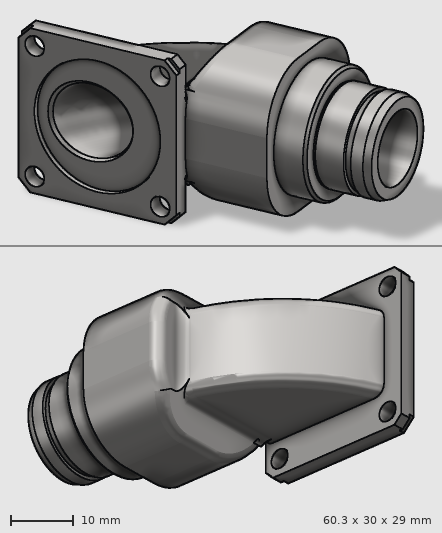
import cadquery as cq
import math

FLANGE_SIDE = 29.0
FLANGE_THICKNESS = 3.0
CORNER_CUT = 1.5
FRONT_CORNER_CUT = 2.2
FRONT_CORNER_DEPTH = 1.0
SCREW_SPACING = 23.05
SCREW_HOLE_DIAMETER = 3.5
RECESS_DIAMETER = 23.15
RECESS_DEPTH = 1.0
FLANGE_CENTER_X = FLANGE_SIDE / 2

HOUSING_SIDE = 27.1
HOUSING_CORNER_RADIUS = 10.0
HOUSING_START = 28.0
HOUSING_END = 43.95
END_SLOPE = 30.0
OVERALL_DEPTH = 30.0
AXIS_Y = OVERALL_DEPTH - HOUSING_SIDE / 2
SOFT_RADIUS = 2.0

ELBOW_HALF_WIDTH = 8.1
ELBOW_RADIUS = 35.0
ELBOW_CENTER_X = 36.4
ELBOW_CENTER_Y = -9.4
FOOT_CORNER_RADIUS = 1.5
SLOPE_RUN = (HOUSING_SIDE / 2 - ELBOW_HALF_WIDTH) * math.tan(math.radians(END_SLOPE))
SLOPE_END = HOUSING_START + SLOPE_RUN

COLLAR_RADIUS = 11.35
COLLAR_END = 49.8
COLLAR_CHAMFER = 0.5
NECK_RADIUS = 8.8
NECK_END = 50.15
SPIGOT_RADIUS = 8.9
SPIGOT_END = 60.3
GROOVE_RADIUS = 8.25
GROOVE_START = 55.4
GROOVE_END = 56.75
NOSE_LENGTH = 1.3
NOSE_DROP = 0.5

BORE_RADIUS = 6.45
BEND_RADIUS = 28.5
BORE_MOUTH_X = 12.4
BEND_SWEEP = 85.0
MOUTH_CHAMFER = 0.5

MARGIN = 0.6


def make_flange():
    def square_plate(thickness, corner_cut):
        return (
            cq.Workplane("XZ", origin=(FLANGE_CENTER_X, 0, 0))
            .rect(FLANGE_SIDE, FLANGE_SIDE)
            .extrude(-thickness)
            .edges("|Y")
            .chamfer(corner_cut)
        )

    rear_plate = square_plate(FLANGE_THICKNESS, CORNER_CUT)
    front_trim = (
        cq.Workplane("XZ", origin=(FLANGE_CENTER_X, 0, 0))
        .rect(FLANGE_SIDE, FLANGE_SIDE)
        .extrude(-FRONT_CORNER_DEPTH)
        .cut(square_plate(FRONT_CORNER_DEPTH, FRONT_CORNER_CUT))
    )
    return rear_plate.cut(front_trim)


def make_raw_housing():
    """Sharp-ended housing: the rear end is flat in the middle and slopes back towards +Z and -Z."""
    block = (
        cq.Workplane("YZ", origin=(HOUSING_START, AXIS_Y, 0))
        .rect(HOUSING_SIDE, HOUSING_SIDE)
        .extrude(HOUSING_END - HOUSING_START)
        .edges("|X")
        .fillet(HOUSING_CORNER_RADIUS)
    )
    half = HOUSING_SIDE / 2
    envelope = (
        cq.Workplane("XZ", origin=(0, OVERALL_DEPTH, 0))
        .polyline([
            (HOUSING_START, -ELBOW_HALF_WIDTH),
            (HOUSING_START, ELBOW_HALF_WIDTH),
            (SLOPE_END, half),
            (HOUSING_END, half),
            (HOUSING_END, -half),
            (SLOPE_END, -half),
        ])
        .close()
        .extrude(HOUSING_SIDE)
    )
    return block.intersect(envelope)


def round_housing_rim(housing):
    """Round the outline of the rear end, leaving the two creases across it sharp."""
    rear_edges = cq.selectors.BoxSelector(
        (0, 0, -HOUSING_SIDE),
        (SLOPE_END + MARGIN, OVERALL_DEPTH + MARGIN, HOUSING_SIDE),
    )
    creases = cq.selectors.BoxSelector(
        (0, AXIS_Y - MARGIN, -ELBOW_HALF_WIDTH - MARGIN),
        (HOUSING_START + MARGIN, AXIS_Y + MARGIN, ELBOW_HALF_WIDTH + MARGIN),
    )
    return housing.edges(rear_edges - creases).fillet(SOFT_RADIUS)


def elbow_arc_point(x):
    """Point of the elbow's outer arc at the given X."""
    rise = math.sqrt(ELBOW_RADIUS**2 - (x - ELBOW_CENTER_X) ** 2)
    return (x, ELBOW_CENTER_Y + rise)


def make_raw_elbow():
    """Sharp-edged block under the outer arc, reaching from inside the flange to the flange's +X side."""
    base_y = FLANGE_THICKNESS / 2
    start_x = ELBOW_CENTER_X - math.sqrt(ELBOW_RADIUS**2 - (base_y - ELBOW_CENTER_Y) ** 2)
    return (
        cq.Workplane("XY", origin=(0, 0, -ELBOW_HALF_WIDTH))
        .moveTo(start_x, base_y)
        .threePointArc(elbow_arc_point((start_x + FLANGE_SIDE) / 2), elbow_arc_point(FLANGE_SIDE))
        .lineTo(FLANGE_SIDE, base_y)
        .close()
        .extrude(2 * ELBOW_HALF_WIDTH)
    )


def fillet_near(body, points, radius):
    """Round the edge whose midpoint is nearest to each of the given points."""
    nearest = [body.edges(cq.selectors.NearestToPointSelector(point)).val() for point in points]
    return body.newObject(nearest).fillet(radius)


def make_shell():
    """Elbow and housing, blended into each other."""
    raw_housing = make_raw_housing()
    raw_elbow = make_raw_elbow()
    junction_top = elbow_arc_point(HOUSING_START)[1]
    arc_x = HOUSING_START / 2
    arc_y = AXIS_Y - SOFT_RADIUS
    both_sides = (-ELBOW_HALF_WIDTH, ELBOW_HALF_WIDTH)

    shell = raw_housing.union(raw_elbow)
    shell = fillet_near(shell, [(HOUSING_START, junction_top / 2, z) for z in both_sides], SOFT_RADIUS)
    shell = fillet_near(shell, [(HOUSING_START, junction_top, 0)], SOFT_RADIUS)
    shell = fillet_near(shell, [(arc_x, arc_y, z) for z in both_sides], SOFT_RADIUS)

    foot_corners = [(FLANGE_SIDE, FLANGE_THICKNESS, z) for z in both_sides]
    shell = fillet_near(shell, foot_corners, FOOT_CORNER_RADIUS)

    rim_trim = raw_housing.cut(round_housing_rim(raw_housing))
    foot_zone = cq.Workplane("XZ").rect(2 * SPIGOT_END, 2 * ELBOW_HALF_WIDTH).extrude(-AXIS_Y)
    return shell.cut(rim_trim.cut(foot_zone))


def make_spigot():
    profile = (
        cq.Workplane("XY", origin=(0, AXIS_Y, 0))
        .moveTo(HOUSING_END - MARGIN, 0)
        .lineTo(HOUSING_END - MARGIN, COLLAR_RADIUS)
        .lineTo(COLLAR_END - COLLAR_CHAMFER, COLLAR_RADIUS)
        .lineTo(COLLAR_END, COLLAR_RADIUS - COLLAR_CHAMFER)
        .lineTo(COLLAR_END, NECK_RADIUS)
        .lineTo(NECK_END, NECK_RADIUS)
        .lineTo(NECK_END, SPIGOT_RADIUS)
        .lineTo(GROOVE_START, SPIGOT_RADIUS)
        .lineTo(GROOVE_START, GROOVE_RADIUS)
        .lineTo(GROOVE_END, GROOVE_RADIUS)
        .lineTo(GROOVE_END, SPIGOT_RADIUS)
        .lineTo(SPIGOT_END - NOSE_LENGTH, SPIGOT_RADIUS)
        .lineTo(SPIGOT_END, SPIGOT_RADIUS - NOSE_DROP)
        .lineTo(SPIGOT_END, 0)
        .close()
    )
    return profile.revolve(360, (0, 0, 0), (1, 0, 0))


def make_flange_openings():
    """Round recess in the front face and the four screw holes."""
    recess = (
        cq.Workplane("XZ", origin=(FLANGE_CENTER_X, 0, 0))
        .circle(RECESS_DIAMETER / 2)
        .extrude(-RECESS_DEPTH)
    )
    screw_holes = (
        cq.Workplane("XZ", origin=(FLANGE_CENTER_X, 0, 0))
        .rect(SCREW_SPACING, SCREW_SPACING, forConstruction=True)
        .vertices()
        .circle(SCREW_HOLE_DIAMETER / 2)
        .extrude(-FLANGE_THICKNESS)
    )
    return recess.union(screw_holes)


def make_bore():
    """Round passage: a bend from the recess onto the housing axis, then straight out at +X."""
    bend_center_y = AXIS_Y - BEND_RADIUS
    bend_run = math.sqrt(BEND_RADIUS**2 - (RECESS_DEPTH - bend_center_y) ** 2)
    bend_end_x = BORE_MOUTH_X + bend_run
    bend_end = cq.Workplane("YZ", origin=(bend_end_x, AXIS_Y, 0))
    straight = bend_end.circle(BORE_RADIUS).extrude(SPIGOT_END - bend_end_x)
    bend = bend_end.circle(BORE_RADIUS).revolve(BEND_SWEEP, (-BEND_RADIUS, 0, 0), (-BEND_RADIUS, 1, 0))
    return straight.union(bend)


body = make_shell().union(make_flange()).union(make_spigot())
body = body.cut(make_flange_openings()).cut(make_bore())
mouth = cq.selectors.NearestToPointSelector((BORE_MOUTH_X, RECESS_DEPTH, 0))
result = body.edges(mouth).chamfer(MOUTH_CHAMFER)